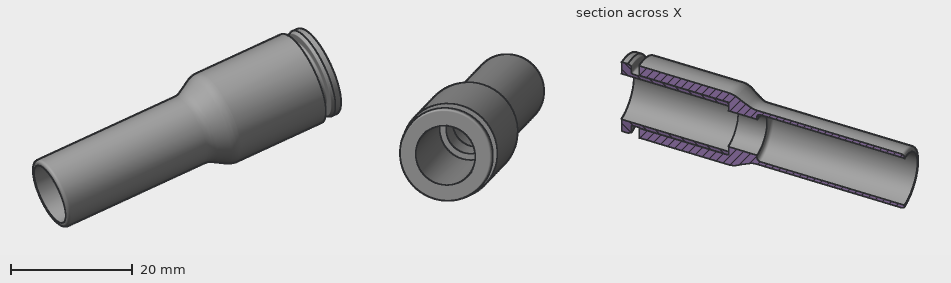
import cadquery as cq
import math

overall_length = 51.05
collet_back_y = overall_length / 2
tip_y = -overall_length / 2
housing_back_y = 22.3
barrel_front_y = 6.25
stem_start_y = 1.0

barrel_radius = 16.1 / 2
stem_radius = 12.05 / 2
stem_bore_radius = 10.3 / 2
passage_radius = 7.85 / 2
tip_round = 0.55
bore_floor_round = 0.6

cone_half_angle_degrees = 30
cone_half_angle = math.radians(cone_half_angle_degrees)
blend_length = 1.55
blend_radius = blend_length / math.sin(cone_half_angle)

flange_radius = 15.45 / 2
flange_thickness = 1.85
flange_back_round = 0.3
flange_chamfer_length = 0.6
flange_chamfer_depth = 0.3
flange_edge_round = 0.15
neck_root_round = 0.3
sleeve_radius = 11.55 / 2
tube_bore_radius = 10.0 / 2


def arc_drop(angle):
    """Radial distance between the start of a blend arc and its point at the given angle."""
    return blend_radius * (1 - math.cos(angle))


def arc_advance(angle):
    """Axial distance between the start of a blend arc and its point at the given angle."""
    return blend_radius * math.sin(angle)


def turned(profile):
    """Revolve a closed (radius, y) profile about the Y axis."""
    return profile.close().revolve(360, (0, 0), (0, 1))


def bored(body, radius, start_y, end_y):
    """Cut a round hole on the axis, from start_y up to end_y."""
    hole = cq.Workplane("XZ", origin=(0, end_y, 0)).circle(radius).extrude(end_y - start_y)
    return body.cut(hole)


def make_housing():
    """Barrel, cone and stem in one piece, with a stop wall between the socket and the stem bore."""
    half_angle = cone_half_angle / 2
    outside = turned(
        cq.Workplane("XY")
        .moveTo(0, housing_back_y)
        .lineTo(barrel_radius, housing_back_y)
        .lineTo(barrel_radius, barrel_front_y)
        .threePointArc(
            (barrel_radius - arc_drop(half_angle), barrel_front_y - arc_advance(half_angle)),
            (barrel_radius - arc_drop(cone_half_angle), barrel_front_y - blend_length),
        )
        .lineTo(stem_radius + arc_drop(cone_half_angle), stem_start_y + blend_length)
        .threePointArc(
            (stem_radius + arc_drop(half_angle), stem_start_y + arc_advance(half_angle)),
            (stem_radius, stem_start_y),
        )
        .lineTo(stem_radius, tip_y)
        .lineTo(0, tip_y)
    ).faces("<Y").edges().fillet(tip_round)

    stem_bore = (
        cq.Workplane("XZ", origin=(0, stem_start_y, 0))
        .circle(stem_bore_radius)
        .extrude(stem_start_y - tip_y)
        .faces(">Y").edges().fillet(bore_floor_round)
    )
    housing = outside.cut(stem_bore)
    housing = bored(housing, passage_radius, tip_y, housing_back_y)
    return bored(housing, sleeve_radius, barrel_front_y, housing_back_y)


def make_collet():
    """Release collet: a chamfered flange on a sleeve that ends on the housing's stop wall."""
    flange_front_y = collet_back_y - flange_thickness
    chamfered_radius = flange_radius - flange_chamfer_depth
    outside = turned(
        cq.Workplane("XY")
        .moveTo(0, collet_back_y)
        .lineTo(flange_radius, collet_back_y)
        .lineTo(flange_radius, flange_front_y + flange_chamfer_length)
        .lineTo(chamfered_radius, flange_front_y)
        .lineTo(sleeve_radius, flange_front_y)
        .lineTo(sleeve_radius, barrel_front_y)
        .lineTo(0, barrel_front_y)
    )
    outside = outside.faces(">Y").edges().fillet(flange_back_round)

    at_front = cq.selectors.BoxSelector(
        (-flange_radius, flange_front_y - flange_edge_round, -flange_radius),
        (flange_radius, flange_front_y + flange_edge_round, flange_radius),
    )
    neck_root = cq.selectors.RadiusNthSelector(0)
    outer_edge = cq.selectors.RadiusNthSelector(-1)
    outside = outside.edges(at_front).edges(neck_root).fillet(neck_root_round)
    outside = outside.edges(at_front).edges(outer_edge).fillet(flange_edge_round)
    return bored(outside, tube_bore_radius, barrel_front_y, collet_back_y)


housing = make_housing()
collet = make_collet()

result = cq.Compound.makeCompound([housing.val(), collet.val()])